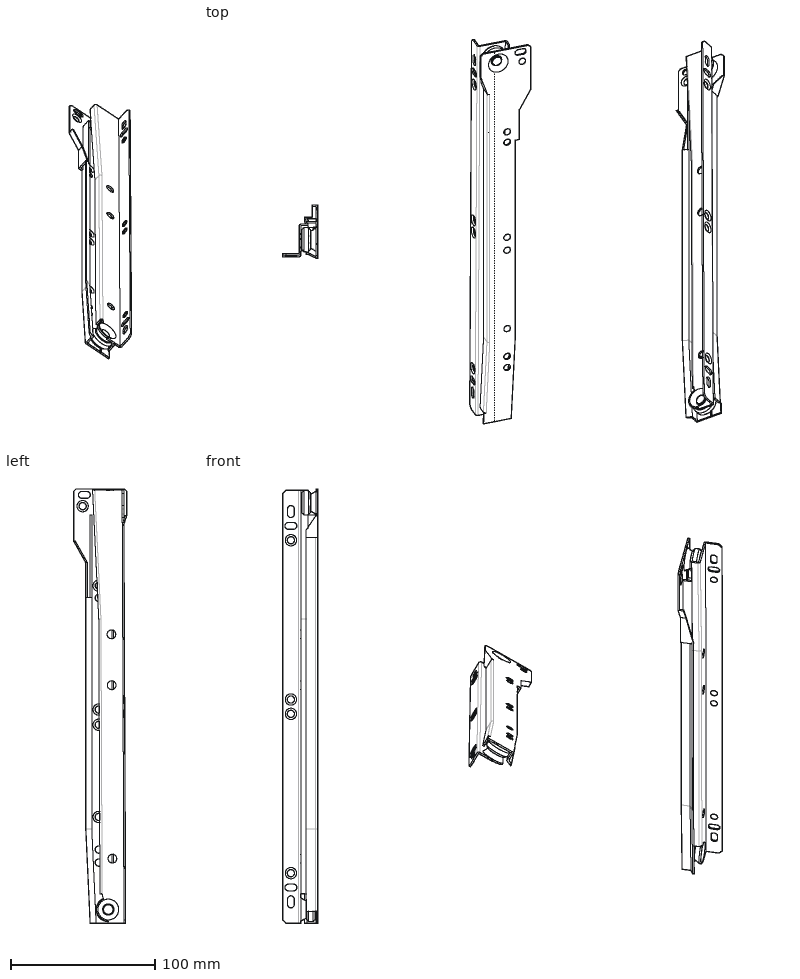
import cadquery as cq
import math

length = 301.2
sheet = 1.2
bend_radius = 1.5

drawer_top = 300.3
flange_width = 12.5
flange_y = 1.0
drawer_tilt = 0.25
web_x = flange_width - sheet
web_top_y = 18.7
lip_high_y = 22.5
lip_slope_start_z = 210.8
lip_bottom_z = 20.5
lip_end_x = 17.5
flange_chamfer = 2.5
flange_hole_x = 5.7
hole_pitch = 10.0
round_near = hole_pitch / 2
round_far = 115.5
cross_slot = round_far + hole_pitch
long_slot = cross_slot + hole_pitch
web_hole_diameter = 6.0
web_hole_y = 10.0
web_hole_heights = [45.0, 165.0, 200.3]

slot_length = 8.0
slot_width = 4.5
screw_hole_diameter = 4.8
sink_diameter = 7.8
sink_depth = 1.0

plate_outer_x = 24.5
plate_x = plate_outer_x - sheet
plate_width = 37.0
neck_y = 28.5
neck_z = 250.0
head_slope_z = 265.0
head_step_z = 282.8
head_chamfer = 1.8
lip_top_z = 226.0
rail_bend_z = 65.5
rail_edge_x = 16.3
lower_rail_y = 5.0
lower_leg_y = lower_rail_y + bend_radius
lower_rail_top_z = 267.5
lower_rail_end_z = 8.5
fold_taper_z = 272.5
upper_rail_y = 24.5
upper_rail_top_z = 283.0
rail_drop = 3.0
upper_rail_edge_x = 17.0
upper_lip_x = 15.0
edge_fold_x = 20.5
plate_groove_width = 1.0
plate_groove_depth = 0.3
plate_hole_y = 19.5
plate_sunk_heights = [73.8, 137.5, 148.2, 234.0]
plate_plain_heights = [42.2, 51.2, 225.5]
head_slot_y, head_slot_z = 29.5, 297.0
head_hole_y, head_hole_z = 30.7, 289.0

roller_radius = 8.5
roller_width = 6.0
roller_rim_chamfer = 1.5
roller_gap = 0.3
roller_y = 13.0
lower_roller_z = 9.5
upper_roller_z = length - lower_roller_z
dish_depth = 3.5
dish_mouth_radius = 8.0
dish_floor_radius = 6.0
dish_inner_mouth = 7.2
dish_inner_floor = 4.0
rivet_radius = 2.5
rivet_head_radius = 3.3
rivet_head_height = 1.2


def block(x0, x1, y0, y1, z0, z1):
    return cq.Workplane("XY").box(x1 - x0, y1 - y0, z1 - z0, centered=False).translate((x0, y0, z0))


def side_sheet(points, x0, x1):
    """Outline given as (Y, Z) points, extruded from x0 to x1."""
    return cq.Workplane("YZ").polyline(points).close().extrude(x1 - x0).translate((x0, 0, 0))


def folded_section(corner_x, edge_x, face_y, inward):
    """XY section of a flange at face_y, from edge_x to a rounded fold at corner_x turning inward along Y."""
    outward = math.copysign(1, corner_x - edge_x)
    arc_inset = bend_radius * (1 - math.sqrt(0.5))
    inner_x = corner_x - outward * sheet
    inner_y = face_y + inward * sheet
    leg_y = face_y + inward * bend_radius
    return (
        cq.Workplane("XY").moveTo(edge_x, face_y)
        .lineTo(corner_x - outward * bend_radius, face_y)
        .threePointArc((corner_x - outward * arc_inset, face_y + inward * arc_inset), (corner_x, leg_y))
        .lineTo(inner_x, leg_y).lineTo(inner_x, inner_y).lineTo(edge_x, inner_y).close())


def rail_run(section, z0, z1, shift_from=0.0, shift_to=0.0):
    """Section in XY carried straight from z0 to z1 while it shifts along Y."""
    face = cq.Face.makeFromWires(section.val()).translate(cq.Vector(0, shift_from, z0))
    return cq.Workplane(cq.Solid.extrudeLinear(face, cq.Vector(0, shift_to - shift_from, z1 - z0)))


def revolved_along_x(profile, x, direction, z):
    """Revolve (distance, radius) points about a roller axis; distances run from x along direction."""
    points = [(x + direction * distance, radius) for distance, radius in profile]
    solid = cq.Workplane("XY").polyline(points).close().revolve(360, (0, 0, 0), (1, 0, 0))
    return solid.translate((0, roller_y, z))


def slot_cutter(plane, angle):
    return cq.Workplane(plane).slot2D(slot_length, slot_width, angle).extrude(sheet, both=True)


def sunk_hole_cutter():
    """Countersunk hole along +Z with its wide end at Z = 0."""
    hole = cq.Workplane("XY").circle(screw_hole_diameter / 2).extrude(2 * sheet)
    sink = cq.Workplane(cq.Solid.makeCone(sink_diameter / 2, screw_hole_diameter / 2, sink_depth))
    return hole.union(sink)


def dish(x, direction, z):
    """Hollow cone pressed out of a sheet whose outer face is at x."""
    outside = [(0, 0), (0, dish_mouth_radius), (sheet, dish_mouth_radius),
               (dish_depth + sheet, dish_floor_radius), (dish_depth + sheet, 0)]
    inside = [(0, 0), (0, dish_inner_mouth), (dish_depth, dish_inner_floor), (dish_depth, 0)]
    bore = [(0, 0), (0, rivet_radius), (2 * dish_depth, rivet_radius), (2 * dish_depth, 0)]
    pressed = revolved_along_x(outside, x, direction, z)
    hollow = revolved_along_x(inside, x, direction, z).union(revolved_along_x(bore, x, direction, z))
    return pressed, hollow


def make_drawer_profile():
    flange = block(0, flange_width, flange_y, flange_y + sheet, 0, drawer_top)
    flange = flange.edges("|Y and <X").chamfer(flange_chamfer)
    web_end_y = web_top_y - bend_radius
    web = side_sheet(
        [(flange_y, 0), (roller_y, 0), (web_end_y, lip_bottom_z), (web_end_y, lip_slope_start_z),
         (web_end_y + lip_high_y - web_top_y, drawer_top), (flange_y, drawer_top)], web_x, flange_width)
    body = flange.union(web).edges("|Z and >X and <Y").fillet(bend_radius)

    section = folded_section(web_x, lip_end_x, web_top_y, -1)
    lip = rail_run(section, lip_bottom_z, lip_slope_start_z)
    lip = lip.union(rail_run(section, lip_slope_start_z, drawer_top, 0, lip_high_y - web_top_y))
    body = body.union(lip)

    pressed, hollow = dish(web_x, 1, lower_roller_z)
    body = body.union(pressed).cut(hollow)

    sunk = sunk_hole_cutter().rotate((0, 0, 0), (1, 0, 0), -90)
    for side in (-1, 1):
        for offset in (round_near, round_far):
            body = body.cut(sunk.translate((flange_hole_x, flange_y, drawer_top / 2 + side * offset)))
        for offset, angle in ((cross_slot, 0), (long_slot, 90)):
            place = (flange_hole_x, flange_y + sheet / 2, drawer_top / 2 + side * offset)
            body = body.cut(slot_cutter("XZ", angle).translate(place))

    for height in web_hole_heights:
        hole = cq.Workplane("YZ").circle(web_hole_diameter / 2).extrude(sheet)
        body = body.cut(hole.translate((web_x, web_hole_y, height)))

    return body.rotate((0, roller_y, lower_roller_z), (1, roller_y, lower_roller_z), -drawer_tilt)


def make_plate():
    plate = side_sheet(
        [(lower_leg_y - rail_drop, 0), (upper_rail_y - rail_drop, 0), (upper_rail_y, rail_bend_z),
         (upper_rail_y, lip_top_z), (neck_y, lip_top_z), (neck_y, neck_z), (plate_width, head_slope_z),
         (plate_width, length - head_chamfer), (plate_width - head_chamfer, length),
         (head_chamfer, length), (0, length - head_chamfer), (0, head_step_z),
         (lower_rail_y, lower_rail_top_z), (lower_leg_y, lower_rail_top_z),
         (lower_leg_y, rail_bend_z)], plate_x, plate_outer_x)
    return plate.cut(block(plate_x, plate_x + plate_groove_depth, web_hole_y - plate_groove_width / 2,
                           web_hole_y + plate_groove_width / 2, 0, length))


def make_lower_rail():
    section = folded_section(plate_outer_x, rail_edge_x, lower_rail_y, 1)
    end_shift = -rail_drop * (1 - lower_rail_end_z / rail_bend_z)
    rail = rail_run(section, rail_bend_z, lower_rail_top_z)
    rail = rail.union(rail_run(section, rail_bend_z, lower_rail_end_z, 0, end_shift))
    foot = side_sheet(
        [(lower_leg_y - rail_drop, 0), (lower_rail_y - rail_drop, 0),
         (lower_rail_y + end_shift, lower_rail_end_z), (lower_leg_y + end_shift, lower_rail_end_z)],
        plate_x, plate_outer_x)

    fold = side_sheet(
        [(lower_rail_y, lower_rail_top_z), (0, head_step_z), (sheet, head_step_z),
         (lower_rail_y + sheet, lower_rail_top_z)], rail_edge_x, plate_outer_x)
    kept = cq.Workplane("XZ").polyline(
        [(rail_edge_x, lower_rail_top_z), (plate_outer_x, lower_rail_top_z), (plate_outer_x, head_step_z),
         (plate_x, head_step_z), (rail_edge_x, fold_taper_z)]).close().extrude(-roller_y)
    return rail.union(foot).union(fold.intersect(kept))


def make_upper_rail():
    rail_top_y = upper_rail_y + sheet
    track = cq.Workplane("XY").polyline(
        [(upper_rail_edge_x, upper_rail_y), (plate_outer_x, upper_rail_y),
         (plate_outer_x, rail_top_y), (upper_rail_edge_x, rail_top_y)]).close()
    lipped = cq.Workplane("XY").polyline(
        [(upper_rail_edge_x, upper_rail_y), (plate_outer_x, upper_rail_y), (plate_outer_x, rail_top_y),
         (upper_rail_edge_x + sheet, rail_top_y), (upper_lip_x + sheet, neck_y),
         (upper_lip_x, neck_y)]).close()
    rail = rail_run(track, lip_top_z, upper_rail_top_z)
    rail = rail.union(rail_run(lipped, rail_bend_z, lip_top_z))
    return rail.union(rail_run(lipped, rail_bend_z, 0, 0, -rail_drop))


def make_edge_fold():
    """Narrow fold along the sloping edge of the head, widening down to the lip of the upper rail."""
    slope = side_sheet([(neck_y, neck_z), (plate_width, head_slope_z), (plate_width - sheet, head_slope_z),
                        (neck_y - sheet, neck_z)], edge_fold_x, plate_outer_x)
    widening = (cq.Workplane("XZ").polyline(
        [(plate_outer_x, neck_z), (edge_fold_x, neck_z), (upper_lip_x, lip_top_z),
         (plate_outer_x, lip_top_z)]).close().extrude(-sheet).translate((0, neck_y - sheet, 0)))
    return slope.union(widening)


def make_cabinet_profile():
    body = make_plate().union(make_lower_rail()).union(make_upper_rail()).union(make_edge_fold())
    pressed, hollow = dish(plate_outer_x, -1, upper_roller_z)
    body = body.union(pressed).cut(hollow)

    sunk = sunk_hole_cutter().rotate((0, 0, 0), (0, 1, 0), 90)
    sunk_places = [(plate_hole_y, height) for height in plate_sunk_heights] + [(head_hole_y, head_hole_z)]
    for y, z in sunk_places:
        body = body.cut(sunk.translate((plate_x, y, z)))
    for height in plate_plain_heights:
        hole = cq.Workplane("YZ").circle(screw_hole_diameter / 2).extrude(sheet)
        body = body.cut(hole.translate((plate_x, plate_hole_y, height)))
    return body.cut(slot_cutter("YZ", 0).translate((plate_x + sheet / 2, head_slot_y, head_slot_z)))


def make_roller(x, direction, z):
    """Roller in front of a dish whose sheet has its outer face at x."""
    near = dish_depth + sheet + roller_gap
    far = near + roller_width
    rim = roller_radius - roller_rim_chamfer
    return revolved_along_x(
        [(near, rivet_radius), (near, rim), (near + roller_rim_chamfer, roller_radius),
         (far - roller_rim_chamfer, roller_radius), (far, rim), (far, rivet_radius)], x, direction, z)


def make_rivet(x, direction, z):
    """Rivet with its head in the dish and its end flush with the roller."""
    end = dish_depth + sheet + roller_gap + roller_width
    head = dish_depth - rivet_head_height
    return revolved_along_x(
        [(head, 0), (head, rivet_head_radius), (dish_depth, rivet_head_radius),
         (dish_depth, rivet_radius), (end, rivet_radius), (end, 0)], x, direction, z)


drawer_profile = make_drawer_profile()
cabinet_profile = make_cabinet_profile()
roller_mounts = [(web_x, 1, lower_roller_z), (plate_outer_x, -1, upper_roller_z)]
rollers = [make_roller(*mount).val() for mount in roller_mounts]
rivets = [make_rivet(*mount).val() for mount in roller_mounts]

result = cq.Compound.makeCompound([drawer_profile.val(), cabinet_profile.val(), *rollers, *rivets])